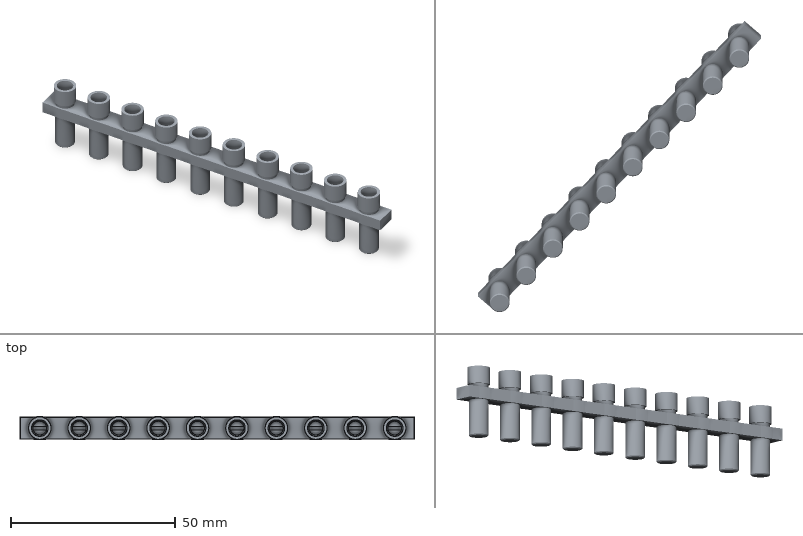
import cadquery as cq
import math

screw_count = 10
bar_length = 120.0
bar_width = 6.7
bar_height = 3.6
pitch = bar_length / screw_count

bulge_chord = 4.5
bulged_width = 7.0
bulge_height = (bulged_width - bar_width) / 2

shank_diameter = 6.0
shank_length = 11.2
shank_chamfer = 0.3

neck_diameter = 5.9
neck_height = 1.2
head_diameter = 6.8
head_height = 5.3

socket_top_diameter = 5.0
socket_floor_diameter = 4.2
socket_depth = head_height
slot_width = 1.1
slot_depth = 1.0

bar_top = bar_height
head_bottom = bar_top + neck_height
head_top = head_bottom + head_height
socket_floor = head_top - socket_depth

screw_positions = [(index - (screw_count - 1) / 2) * pitch for index in range(screw_count)]


def cylinder(diameter, bottom, height):
    """Vertical cylinder on the Z axis."""
    return cq.Workplane("XY").workplane(offset=bottom).circle(diameter / 2).extrude(height)


def make_bar():
    """Bar whose long sides bulge out in a shallow arc beside every screw."""
    half_length = bar_length / 2
    half_width = bar_width / 2
    half_chord = bulge_chord / 2
    bulge_peak = half_width + bulge_height

    outline = cq.Workplane("XY").moveTo(-half_length, -half_width)
    for x in screw_positions:
        outline = outline.lineTo(x - half_chord, -half_width)
        outline = outline.threePointArc((x, -bulge_peak), (x + half_chord, -half_width))
    outline = outline.lineTo(half_length, -half_width).lineTo(half_length, half_width)
    for x in reversed(screw_positions):
        outline = outline.lineTo(x + half_chord, half_width)
        outline = outline.threePointArc((x, bulge_peak), (x - half_chord, half_width))
    return outline.lineTo(-half_length, half_width).close().extrude(bar_height)


def make_screw():
    """Shank, neck and head of one screw, standing on the Z axis."""
    shank = cylinder(shank_diameter, -shank_length, shank_length).edges().chamfer(shank_chamfer)
    core = cylinder(neck_diameter, 0, head_bottom)
    head = cylinder(head_diameter, head_bottom, head_height)
    return shank.union(core).union(head)


def make_socket():
    """Tapered socket and its driver slot, to be cut from one head."""
    wall_run = (socket_top_diameter - socket_floor_diameter) / 2
    taper = math.degrees(math.atan(wall_run / socket_depth))
    socket = (
        cq.Workplane("XY")
        .workplane(offset=socket_floor)
        .circle(socket_floor_diameter / 2)
        .extrude(socket_depth, taper=-taper)
    )
    slot_strip = cq.Workplane("XY").box(socket_floor_diameter, slot_width, 2 * head_top)
    slot = cylinder(socket_floor_diameter, socket_floor - slot_depth, slot_depth).intersect(slot_strip)
    return socket.union(slot)


result = make_bar()
screw = make_screw()
socket = make_socket()
for x in screw_positions:
    result = result.union(screw.translate((x, 0, 0)))
    result = result.cut(socket.translate((x, 0, 0)))